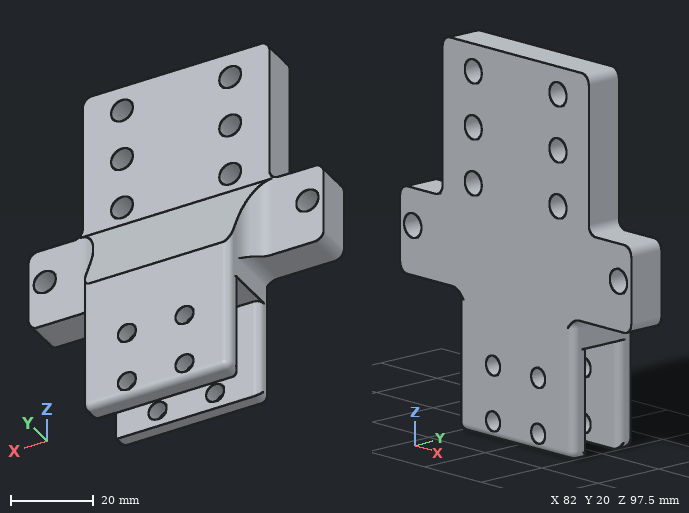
import cadquery as cq
import math

HEIGHT = 97.5
DEPTH = 20.0
PLATE_DEPTH = DEPTH / 2
HEAD_WIDTH = 51.9
WING_SPAN = 82.0
WING_BOTTOM = 35.5
WING_TOP = 57.4
CORNER_RADIUS = 2.5

CLEVIS_WIDTH = 41.0
EDGE_RADIUS = 1.95
SLOPE_BOTTOM = 36.1
SLOPE_TOP = 57.5
FLARE_RADIUS = 6.0
PRONG_DEPTH = 5.0
SLOT_HEIGHT = 27.4

HEAD_HOLE_DIAMETER = 6.0
HEAD_HOLE_X = 15.0
HEAD_HOLE_TOP = 90.6
HEAD_HOLE_PITCH = 14.0
HEAD_HOLE_ROWS = 3
WING_HOLE_DIAMETER = 6.1
WING_HOLE_X = 36.5
WING_HOLE_Z = 48.0
PRONG_HOLE_DIAMETER = 5.0
PRONG_HOLE_X = 8.0
PRONG_HOLE_HEIGHTS = (4.5, 18.4)

HALF_CLEVIS = CLEVIS_WIDTH / 2
ARC_MIDPOINT = 1 - math.sqrt(0.5)


def centered_box(width, y_start, y_end, z_start, z_end):
    """Box symmetric about x = 0."""
    box = cq.Workplane("XY").box(width, y_end - y_start, z_end - z_start, centered=(True, False, False))
    return box.translate((0, y_start, z_start))


def both_sides(right_side):
    """Solid together with its mirror image across x = 0."""
    return right_side.union(right_side.mirror("YZ"))


def make_plate():
    """Head and wings, with rounded corners where the outline turns."""
    head = centered_box(HEAD_WIDTH, 0, PLATE_DEPTH, WING_BOTTOM, HEIGHT)
    wings = centered_box(WING_SPAN, 0, PLATE_DEPTH, WING_BOTTOM, WING_TOP)
    return head.union(wings).edges("|Y").fillet(CORNER_RADIUS)


def make_clevis_block():
    """Block with rounded vertical and bottom edges, before the slot is cut."""
    block = centered_box(CLEVIS_WIDTH, 0, DEPTH, 0, SLOPE_TOP)
    return block.edges("|Z or <Z").fillet(EDGE_RADIUS)


def make_flare():
    """Concave blend from the right side of the clevis to the back of the plate and under the wing."""
    flare_start = PLATE_DEPTH + FLARE_RADIUS
    flare_end = HALF_CLEVIS + FLARE_RADIUS
    blend_bottom = WING_BOTTOM - CORNER_RADIUS
    blend_end = HALF_CLEVIS + CORNER_RADIUS
    plan = (
        cq.Workplane("XY")
        .moveTo(0, EDGE_RADIUS)
        .lineTo(flare_end, EDGE_RADIUS)
        .lineTo(flare_end, PLATE_DEPTH)
        .threePointArc(
            (HALF_CLEVIS + ARC_MIDPOINT * FLARE_RADIUS, PLATE_DEPTH + ARC_MIDPOINT * FLARE_RADIUS),
            (HALF_CLEVIS, flare_start),
        )
        .lineTo(0, flare_start)
        .close()
        .extrude(SLOPE_TOP)
    )
    outline = (
        cq.Workplane("XZ")
        .moveTo(0, blend_bottom)
        .lineTo(HALF_CLEVIS, blend_bottom)
        .threePointArc(
            (HALF_CLEVIS + ARC_MIDPOINT * CORNER_RADIUS, WING_BOTTOM - ARC_MIDPOINT * CORNER_RADIUS),
            (blend_end, WING_BOTTOM),
        )
        .lineTo(flare_end, WING_BOTTOM)
        .lineTo(flare_end, SLOPE_TOP)
        .lineTo(0, SLOPE_TOP)
        .close()
        .extrude(-DEPTH)
    )
    return plan.intersect(outline)


def make_front_blend():
    """Blend under the right wing, turned around the rounded front edge of the clevis."""
    blend_end = EDGE_RADIUS + CORNER_RADIUS
    turned = (
        cq.Workplane("XZ")
        .moveTo(0, WING_BOTTOM - CORNER_RADIUS)
        .lineTo(EDGE_RADIUS, WING_BOTTOM - CORNER_RADIUS)
        .threePointArc(
            (EDGE_RADIUS + ARC_MIDPOINT * CORNER_RADIUS, WING_BOTTOM - ARC_MIDPOINT * CORNER_RADIUS),
            (blend_end, WING_BOTTOM),
        )
        .lineTo(0, WING_BOTTOM)
        .close()
        .revolve(360, (0, 0), (0, 1))
        .translate((HALF_CLEVIS - EDGE_RADIUS, EDGE_RADIUS, 0))
    )
    return turned.intersect(centered_box(WING_SPAN, 0, EDGE_RADIUS, 0, WING_BOTTOM))


def make_slope_cutter():
    """Wedge that slopes the back of the clevis up to the plate."""
    clearance = 1.0
    return (
        cq.Workplane("YZ")
        .moveTo(DEPTH, SLOPE_BOTTOM)
        .lineTo(PLATE_DEPTH, SLOPE_TOP)
        .lineTo(DEPTH + clearance, SLOPE_TOP)
        .lineTo(DEPTH + clearance, SLOPE_BOTTOM)
        .close()
        .extrude(WING_SPAN / 2, both=True)
    )


def make_slot_cutter():
    """Slot between the prongs, widening at both ends to round the prongs' inner edges."""
    slot_depth = DEPTH - 2 * PRONG_DEPTH
    slot = centered_box(CLEVIS_WIDTH, PRONG_DEPTH, DEPTH - PRONG_DEPTH, 0, SLOT_HEIGHT)
    mouth_depth = slot_depth + 2 * EDGE_RADIUS
    mouth = (
        cq.Workplane("XY")
        .center(HALF_CLEVIS - EDGE_RADIUS / 2, DEPTH / 2)
        .rect(EDGE_RADIUS, mouth_depth)
        .extrude(SLOT_HEIGHT)
    )
    rounds = (
        cq.Workplane("XY")
        .pushPoints([
            (HALF_CLEVIS - EDGE_RADIUS, (DEPTH - mouth_depth) / 2),
            (HALF_CLEVIS - EDGE_RADIUS, (DEPTH + mouth_depth) / 2),
        ])
        .circle(EDGE_RADIUS)
        .extrude(SLOT_HEIGHT)
    )
    return slot.union(both_sides(mouth.cut(rounds)))


def make_holes(x, heights, diameter):
    """Mirrored pairs of holes through the full depth."""
    centers = [(side * x, z) for side in (-1, 1) for z in heights]
    return cq.Workplane("XZ").pushPoints(centers).circle(diameter / 2).extrude(-DEPTH)


def join_clevis(plate):
    """Plate joined to the clevis block and its blends."""
    blends = both_sides(make_flare()).union(both_sides(make_front_blend()))
    return plate.union(make_clevis_block()).union(blends)


head_hole_heights = [HEAD_HOLE_TOP - row * HEAD_HOLE_PITCH for row in range(HEAD_HOLE_ROWS)]

result = (
    join_clevis(make_plate())
    .cut(make_slope_cutter())
    .cut(make_slot_cutter())
    .cut(make_holes(HEAD_HOLE_X, head_hole_heights, HEAD_HOLE_DIAMETER))
    .cut(make_holes(WING_HOLE_X, [WING_HOLE_Z], WING_HOLE_DIAMETER))
    .cut(make_holes(PRONG_HOLE_X, PRONG_HOLE_HEIGHTS, PRONG_HOLE_DIAMETER))
)